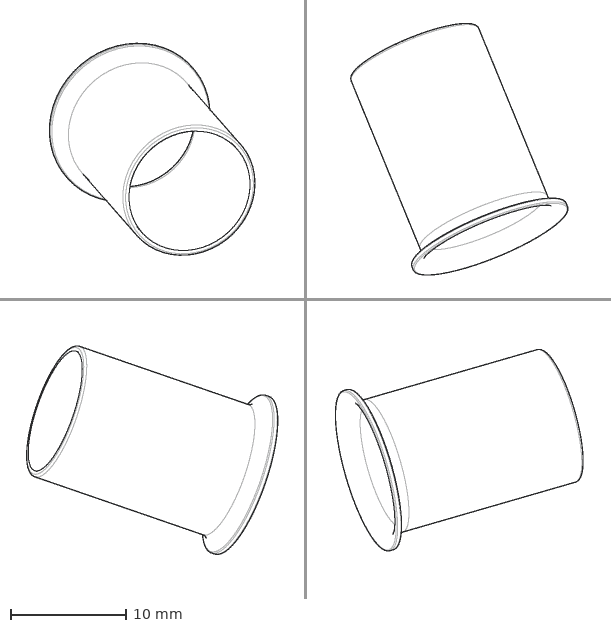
import cadquery as cq

length = 18.0
flange_diameter = 14.5
tube_diameter = 12.0
wall = 0.5
rim_round = 0.1
end_round = 0.2

flange_radius = flange_diameter / 2
tube_radius = tube_diameter / 2
bore_radius = tube_radius - wall

flare_center_r = flange_radius - rim_round
flare_outer_radius = flare_center_r - tube_radius
flare_inner_radius = flare_outer_radius + wall
flare_center_x = flare_inner_radius
diagonal = 0.5 ** 0.5


def arc_middle(center_x, center_r, radius, side_x, side_r):
    """Midpoint of a quarter arc lying on the given sides (+1 or -1) of its centre."""
    return (
        center_x + side_x * radius * diagonal,
        center_r + side_r * radius * diagonal,
    )


outer_flare_middle = arc_middle(flare_center_x, flare_center_r, flare_outer_radius, -1, -1)
inner_flare_middle = arc_middle(flare_center_x, flare_center_r, flare_inner_radius, -1, -1)
back_rim_middle = arc_middle(wall - rim_round, flare_center_r, rim_round, 1, 1)
front_rim_middle = arc_middle(rim_round, flare_center_r, rim_round, -1, 1)
end_middle = arc_middle(length - end_round, tube_radius - end_round, end_round, 1, 1)

wall_section = (
    cq.Workplane("XY")
    .moveTo(length, bore_radius)
    .lineTo(length, tube_radius - end_round)
    .threePointArc(end_middle, (length - end_round, tube_radius))
    .lineTo(flare_center_x, tube_radius)
    .threePointArc(outer_flare_middle, (wall, flare_center_r))
    .threePointArc(back_rim_middle, (wall - rim_round, flange_radius))
    .lineTo(rim_round, flange_radius)
    .threePointArc(front_rim_middle, (0, flare_center_r))
    .threePointArc(inner_flare_middle, (flare_center_x, bore_radius))
    .close()
)

result = wall_section.revolve(360, (0, 0, 0), (1, 0, 0))